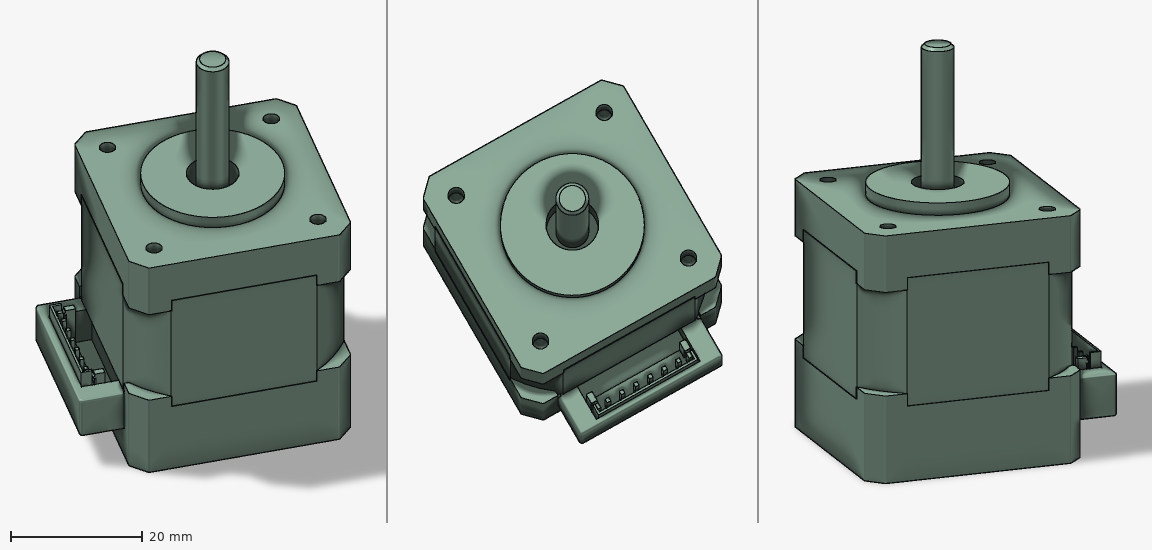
import cadquery as cq
import math

CAP_SIDE = 35.2
BODY_HEIGHT = 39.5
TOP_CAP_HEIGHT = 9.0
BOTTOM_CAP_HEIGHT = 14.0
NOTCH_DEPTH = 2.0
NOTCH_WIDTH = 23.0
CORNER_CHAMFER = 2.5
CORNER_BLEND = 0.5
CORE_SIDE = 35.0
CORE_ROUND_DIAMETER = 42.0
BOSS_DIAMETER = 22.0
BOSS_HEIGHT = 2.0
BORE_DIAMETER = 8.0
BORE_DEPTH = 6.0
SCREW_HOLE_DIAMETER = 2.5
SCREW_HOLE_DEPTH = 4.5
SCREW_SPACING = 26.0
DRILL_TIP_ANGLE = 118.0

SHAFT_DIAMETER = 5.0
SHAFT_CHAMFER = 0.5
OVERALL_HEIGHT = 63.55

COVER_WIDTH = 25.05
COVER_DEPTH = 7.0
COVER_INSET = 1.0
COVER_HEIGHT = 7.0
COVER_BLEND = 0.5
COVER_FRONT_WALL = 1.2
COVER_FLOOR = 1.0
WINDOW_WIDTH = 18.25

HEADER_WIDTH = 17.4
HEADER_DEPTH = 3.8
HEADER_BASE_HEIGHT = 1.0
HEADER_WALL = 0.4
HEADER_WALL_TOP = 14.4
WING_LENGTH = 1.8
RIB_WIDTH = 0.6
RIB_LENGTH = 0.9
RIB_OVERHANG = 0.1
RIB_TOP = 13.3
LATCH_WIDTH = 1.0
LATCH_TOP = 13.65
LATCH_ROOT_LENGTH = 1.4
LATCH_HEAD_LENGTH = 1.6
BARB_REACH = 1.85
BARB_BOTTOM = 12.8
BARB_TOP = 13.3

PIN_COUNT = 6
PIN_PITCH = 2.5
PIN_SIDE = 0.65
PIN_SETBACK = 1.5
PIN_TOP = 13.15

BOSS_TOP = BODY_HEIGHT + BOSS_HEIGHT
BORE_FLOOR = BOSS_TOP - BORE_DEPTH
MOTOR_FRONT = -CAP_SIDE / 2
COVER_TOP = BOTTOM_CAP_HEIGHT - NOTCH_DEPTH
COVER_BOTTOM = COVER_TOP - COVER_HEIGHT
WINDOW_FLOOR = COVER_BOTTOM + COVER_FLOOR
HEADER_FRONT = MOTOR_FRONT - COVER_DEPTH + COVER_FRONT_WALL
HEADER_BACK = HEADER_FRONT + HEADER_DEPTH
HEADER_FLOOR = WINDOW_FLOOR + HEADER_BASE_HEIGHT


def block(x_size, y_size, z_size, x_center, y_min, z_min):
    """Box centred on x_center, growing toward +Y and +Z from y_min and z_min."""
    return cq.Workplane("XY").box(x_size, y_size, z_size, centered=(True, False, False)).translate(
        (x_center, y_min, z_min)
    )


def cylinder(diameter, z_min, height):
    return cq.Workplane("XY").workplane(offset=z_min).circle(diameter / 2).extrude(height)


def make_cap(z_min, height):
    """Square cap with softened corner chamfers."""
    cap = cq.Workplane("XY").workplane(offset=z_min).rect(CAP_SIDE, CAP_SIDE).extrude(height)
    cap = cap.edges("|Z").chamfer(CORNER_CHAMFER)
    return cap.edges("|Z").fillet(CORNER_BLEND)


def notch_cross(z_min):
    """Two crossing bars that cut one notch into the middle of each side of a cap."""
    bar = cq.Workplane("XY").box(NOTCH_WIDTH, CAP_SIDE, NOTCH_DEPTH, centered=(True, True, False))
    return bar.union(bar.rotate((0, 0, 0), (0, 0, 1), 90)).translate((0, 0, z_min))


def make_core():
    """Square core whose corners are turned round."""
    core_bottom = BOTTOM_CAP_HEIGHT - NOTCH_DEPTH
    core_top = BODY_HEIGHT - TOP_CAP_HEIGHT + NOTCH_DEPTH
    core_height = core_top - core_bottom
    core = cq.Workplane("XY").workplane(offset=core_bottom).rect(CORE_SIDE, CORE_SIDE).extrude(core_height)
    return core.intersect(cylinder(CORE_ROUND_DIAMETER, core_bottom, core_height))


def screw_hole_cutter():
    """Blind drilled hole with a conical tip, open at the flange face, on the Z axis."""
    radius = SCREW_HOLE_DIAMETER / 2
    tip_height = radius / math.tan(math.radians(DRILL_TIP_ANGLE / 2))
    shoulder = BODY_HEIGHT - SCREW_HOLE_DEPTH
    profile = [(0, BODY_HEIGHT), (radius, BODY_HEIGHT), (radius, shoulder), (0, shoulder - tip_height)]
    return cq.Workplane("XZ").polyline(profile).close().revolve(360, (0, 0, 0), (0, 1, 0))


def cover_outline():
    """Rounded box of the connector cover, whose flat back is set into the bottom cap."""
    cover_length = COVER_DEPTH + COVER_INSET
    cover = block(COVER_WIDTH, cover_length, COVER_HEIGHT, 0, MOTOR_FRONT - COVER_DEPTH, COVER_BOTTOM)
    return cover.edges("not >Y").fillet(COVER_BLEND)


def make_motor():
    """End caps, core and centring boss."""
    top_cap_bottom = BODY_HEIGHT - TOP_CAP_HEIGHT
    top_cap = make_cap(top_cap_bottom, TOP_CAP_HEIGHT).cut(notch_cross(top_cap_bottom))

    bottom_cap = make_cap(0, BOTTOM_CAP_HEIGHT).cut(notch_cross(BOTTOM_CAP_HEIGHT - NOTCH_DEPTH))
    bottom_cap = bottom_cap.cut(block(COVER_WIDTH, CAP_SIDE / 2, NOTCH_DEPTH, 0, MOTOR_FRONT, COVER_TOP))
    bottom_cap = bottom_cap.cut(cover_outline())

    motor = bottom_cap.union(make_core()).union(top_cap)
    motor = motor.union(cylinder(BOSS_DIAMETER, BODY_HEIGHT, BOSS_HEIGHT))
    motor = motor.cut(cylinder(BORE_DIAMETER, BORE_FLOOR, BORE_DEPTH))

    hole = screw_hole_cutter()
    for x_sign in (-1, 1):
        for y_sign in (-1, 1):
            motor = motor.cut(hole.translate((x_sign * SCREW_SPACING / 2, y_sign * SCREW_SPACING / 2, 0)))
    return motor


def make_shaft():
    """Output shaft standing on the floor of the bore."""
    shaft = cylinder(SHAFT_DIAMETER, BORE_FLOOR, OVERALL_HEIGHT - BORE_FLOOR)
    return shaft.faces(">Z").chamfer(SHAFT_CHAMFER)


def make_cover():
    """Rounded box with a window for the header that is open at the top and back."""
    window_depth = MOTOR_FRONT + COVER_INSET - HEADER_FRONT
    window_height = COVER_TOP - WINDOW_FLOOR
    return cover_outline().cut(
        block(WINDOW_WIDTH, window_depth, window_height, 0, HEADER_FRONT, WINDOW_FLOOR)
    )


def make_latch():
    """Side post with a round barb that points toward the front wall, on the -X end of the header."""
    head_front = HEADER_BACK - LATCH_HEAD_LENGTH
    root_front = HEADER_BACK - LATCH_ROOT_LENGTH
    barb_tip = (HEADER_BACK - BARB_REACH, (BARB_TOP + BARB_BOTTOM) / 2)
    profile = (
        cq.Workplane("YZ")
        .moveTo(HEADER_BACK, HEADER_FLOOR)
        .lineTo(HEADER_BACK, LATCH_TOP)
        .lineTo(head_front, LATCH_TOP)
        .lineTo(head_front, BARB_TOP)
        .threePointArc(barb_tip, (head_front, BARB_BOTTOM))
        .lineTo(root_front, BARB_BOTTOM)
        .lineTo(root_front, HEADER_FLOOR)
        .close()
    )
    latch = profile.extrude(LATCH_WIDTH)
    return latch.translate((-HEADER_WIDTH / 2, 0, 0))


def make_header():
    """Base, front wall with side wings, corner ribs, latches and pin holes."""
    wall_height = HEADER_WALL_TOP - HEADER_FLOOR
    inner_width = HEADER_WIDTH - 2 * HEADER_WALL
    inner_front = HEADER_FRONT + HEADER_WALL

    header = block(HEADER_WIDTH, HEADER_DEPTH, HEADER_BASE_HEIGHT, 0, HEADER_FRONT, WINDOW_FLOOR)
    walls = block(HEADER_WIDTH, WING_LENGTH, wall_height, 0, HEADER_FRONT, HEADER_FLOOR)
    walls = walls.cut(block(inner_width, WING_LENGTH, wall_height, 0, inner_front, HEADER_FLOOR))
    header = header.union(walls)

    rib_back = HEADER_FRONT + WING_LENGTH + RIB_OVERHANG
    rib_x = -(inner_width - RIB_WIDTH) / 2
    rib = block(RIB_WIDTH, RIB_LENGTH, RIB_TOP - HEADER_FLOOR, rib_x, rib_back - RIB_LENGTH, HEADER_FLOOR)
    end_details = make_latch().union(rib)
    header = header.union(end_details).union(end_details.mirror("YZ"))

    for pin in make_pins():
        header = header.cut(pin)
    return header


def make_pins():
    """Row of square contacts standing on the window floor, through the header base."""
    pin_y_min = HEADER_FRONT + PIN_SETBACK - PIN_SIDE / 2
    pins = []
    for index in range(PIN_COUNT):
        x = (index - (PIN_COUNT - 1) / 2) * PIN_PITCH
        pins.append(block(PIN_SIDE, PIN_SIDE, PIN_TOP - WINDOW_FLOOR, x, pin_y_min, WINDOW_FLOOR))
    return pins


motor = make_motor()
shaft = make_shaft()
cover = make_cover()
header = make_header()
pins = make_pins()

result = cq.Compound.makeCompound(
    [motor.val(), shaft.val(), cover.val(), header.val(), *[pin.val() for pin in pins]]
)